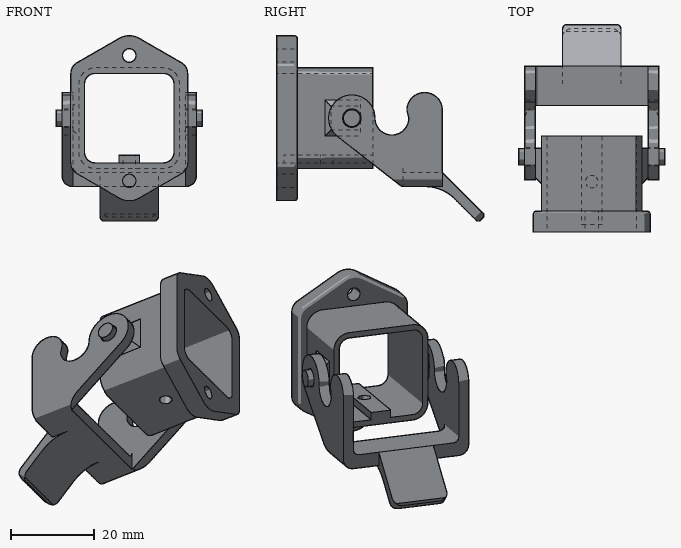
import cadquery as cq
import math


flange_width = 28.0
flange_thickness = 5.0
flange_corner_radius = 3.0
flange_slope = math.radians(30)
flange_back_fillet = 0.75
screw_offset = 15.0
screw_hole_diameter = 3.2
flange_tip_radius = 4.75

sleeve_size = 24.15
sleeve_length = 23.05
sleeve_corner_radius = 3.95
opening_size = 21.35
opening_corner_radius = 2.5

rib_width = 5.0
rib_height = 1.85
rib_front = 1.8
rib_hole_diameter = 3.0
rib_hole_y = 12.05

pivot_y = 18.05
boss_front = 11.55
boss_back = 20.05
boss_height = 1.45
boss_half_height = 4.3
pin_diameter = 4.0
pin_span = 35.0

arm_inner_x = sleeve_size / 2 + boss_height
arm_thickness = 2.6
arm_outer_x = arm_inner_x + arm_thickness
pivot_hole_diameter = 4.4
arm_eye_radius = 5.55
slot_radius = 4.0
slot_y = pivot_y + arm_eye_radius + slot_radius
hook_radius = 4.25
hook_z = 1.9
latch_back = 39.75
underside_slope = math.radians(38)

bar_front = 30.25
bar_top = -13.0
bar_thickness = 3.4
bar_bottom = bar_top - bar_thickness
bar_outer_radius = arm_thickness
bar_inner_radius = 1.45
handle_width = 14.0
handle_reach = 10.3
handle_root_radius = 9.95
handle_corner_radius = 2.0
handle_tip_bevel = 0.5


def xz_plane(y):
    """Plane facing +Y at the given Y; its local axes are -X and +Z."""
    return cq.Workplane(cq.Plane(origin=(0, y, 0), xDir=(-1, 0, 0), normal=(0, 1, 0)))


def yz_plane(x):
    """Plane facing +X at the given X; its local axes are +Y and +Z."""
    return cq.Workplane(cq.Plane(origin=(x, 0, 0), xDir=(0, 1, 0), normal=(1, 0, 0)))


def rounded_block(size, corner_radius, length):
    """Square bar along Y from Y = 0 with rounded long edges."""
    block = xz_plane(0).rect(size, size).extrude(length)
    return block.edges("|Y").fillet(corner_radius)


def make_flange():
    """Six-sided flange with rounded corners and a rounded back edge."""
    half_width = flange_width / 2
    apex_z = screw_offset + flange_tip_radius / math.cos(flange_slope)
    shoulder_z = apex_z - half_width * math.tan(flange_slope)
    outline = [
        (0, apex_z),
        (half_width, shoulder_z),
        (half_width, -shoulder_z),
        (0, -apex_z),
        (-half_width, -shoulder_z),
        (-half_width, shoulder_z),
    ]
    flange = xz_plane(0).polyline(outline).close().extrude(flange_thickness)
    flange = flange.edges("|Y").edges("<Z or >Z").fillet(flange_tip_radius)
    flange = flange.edges("|Y").edges("<X or >X").fillet(flange_corner_radius)
    return flange.faces(">Y").edges().fillet(flange_back_fillet)


def make_boss(side):
    """Pivot boss with 45-degree bevelled front, top and bottom, carrying the pivot pin."""
    base_x = side * sleeve_size / 2
    base_center = (boss_front + boss_back) / 2
    base_length = boss_back - boss_front
    boss = (
        yz_plane(base_x)
        .center(base_center, 0)
        .rect(base_length, 2 * boss_half_height)
        .workplane(offset=side * boss_height)
        .center(boss_height / 2, 0)
        .rect(base_length - boss_height, 2 * (boss_half_height - boss_height))
        .loft(ruled=True)
    )
    pin_length = pin_span / 2 - sleeve_size / 2
    pin = yz_plane(base_x).center(pivot_y, 0).circle(pin_diameter / 2).extrude(side * pin_length)
    return boss.union(pin)


def make_housing():
    """Open square sleeve with a mounting flange, an inner rib and two pivot pins."""
    housing = make_flange().union(rounded_block(sleeve_size, sleeve_corner_radius, sleeve_length))
    housing = housing.cut(rounded_block(opening_size, opening_corner_radius, sleeve_length))
    screw_holes = (
        xz_plane(0)
        .pushPoints([(0, screw_offset), (0, -screw_offset)])
        .circle(screw_hole_diameter / 2)
        .extrude(flange_thickness)
    )
    housing = housing.cut(screw_holes)

    rib_center_z = (rib_height - opening_size) / 2
    rib_length = sleeve_length - rib_front
    rib = xz_plane(rib_front).center(0, rib_center_z).rect(rib_width, rib_height).extrude(rib_length)
    rib_hole = (
        cq.Workplane("XY", origin=(0, rib_hole_y, -sleeve_size / 2))
        .circle(rib_hole_diameter / 2)
        .extrude((sleeve_size - opening_size) / 2 + rib_height)
    )
    housing = housing.union(rib).cut(rib_hole)
    for side in (-1, 1):
        housing = housing.union(make_boss(side))
    return housing


def make_lever_block():
    """Arm profile extruded over the full width of the latch, with rounded lower long edges."""
    tangent_y = pivot_y - arm_eye_radius * math.sin(underside_slope)
    tangent_z = -arm_eye_radius * math.cos(underside_slope)
    underside_y = tangent_y + (tangent_z - bar_bottom) / math.tan(underside_slope)

    hook_y = latch_back - hook_radius
    spacing = math.hypot(hook_y - slot_y, hook_z)
    along = (spacing**2 + slot_radius**2 - hook_radius**2) / (2 * spacing)
    across = math.sqrt(slot_radius**2 - along**2)
    unit_y = (hook_y - slot_y) / spacing
    unit_z = hook_z / spacing
    flat_top = (slot_y + along * unit_y - across * unit_z, along * unit_z + across * unit_y)
    flat_bottom = (slot_y + along * unit_y + across * unit_z, along * unit_z - across * unit_y)

    block = (
        yz_plane(-arm_outer_x)
        .moveTo(underside_y, bar_bottom)
        .lineTo(latch_back, bar_bottom)
        .lineTo(latch_back, hook_z)
        .threePointArc((hook_y, hook_z + hook_radius), flat_top)
        .lineTo(*flat_bottom)
        .threePointArc((slot_y, -slot_radius), (slot_y - slot_radius, 0))
        .threePointArc((pivot_y, arm_eye_radius), (tangent_y, tangent_z))
        .close()
        .extrude(2 * arm_outer_x)
    )
    return block.edges("|Y").edges("<Z").fillet(bar_outer_radius)


def make_handle():
    """Handle sloping down at 45 degrees from the bar's back face, blended into the bar's bottom."""
    start = yz_plane(-handle_width / 2)
    diagonal = math.sqrt(0.5)

    lower_reach = handle_reach - bar_thickness / 2
    upper_tip_y = latch_back + handle_reach
    upper_tip_z = bar_top - handle_reach
    lower_tip_y = latch_back + lower_reach
    lower_tip_z = bar_bottom - lower_reach
    bevel = handle_tip_bevel * diagonal
    root_top = (latch_back, bar_top)
    root_bottom = (latch_back, bar_bottom)
    sharp_outline = [root_top, (upper_tip_y, upper_tip_z), (lower_tip_y, lower_tip_z), root_bottom]
    bevelled_outline = [
        root_top,
        (upper_tip_y - bevel, upper_tip_z + bevel),
        (upper_tip_y - bevel, upper_tip_z - bevel),
        (lower_tip_y + bevel, lower_tip_z + bevel),
        (lower_tip_y - bevel, lower_tip_z + bevel),
        root_bottom,
    ]
    tip_face = cq.selectors.DirectionMinMaxSelector(cq.Vector(0, 1, -1))
    plate = start.polyline(sharp_outline).close().extrude(handle_width)
    plate = plate.faces(tip_face).edges("not |X").fillet(handle_corner_radius)
    handle = plate.intersect(start.polyline(bevelled_outline).close().extrude(handle_width))

    half_turn = math.radians(45) / 2
    tangent_length = handle_root_radius * math.tan(half_turn)
    bar_tangent_y = latch_back - tangent_length
    blend_middle = (
        bar_tangent_y + handle_root_radius * math.sin(half_turn),
        bar_bottom - handle_root_radius * (1 - math.cos(half_turn)),
    )
    blend_end = (latch_back + tangent_length * diagonal, bar_bottom - tangent_length * diagonal)
    blend = (
        start.moveTo(*root_bottom)
        .lineTo(bar_tangent_y, bar_bottom)
        .threePointArc(blend_middle, blend_end)
        .close()
        .extrude(handle_width)
    )
    return handle.union(blend)


def make_latch():
    """Locking lever: two hooked arms joined by a crossbar that carries the handle."""
    gap_width = 2 * arm_inner_x
    gap_height = 2 * sleeve_size
    gap_center_z = bar_top + gap_height / 2
    above_bar = xz_plane(0).center(0, gap_center_z).rect(gap_width, gap_height).extrude(latch_back)
    above_bar = above_bar.edges("|Y and <Z").fillet(bar_inner_radius)
    before_bar = xz_plane(0).rect(gap_width, gap_height).extrude(bar_front)
    pivot_holes = (
        yz_plane(-arm_outer_x).center(pivot_y, 0).circle(pivot_hole_diameter / 2).extrude(2 * arm_outer_x)
    )
    latch = make_lever_block().cut(above_bar).cut(before_bar).cut(pivot_holes)
    return latch.union(make_handle())


housing = make_housing()
latch = make_latch()
result = cq.Compound.makeCompound([housing.val(), latch.val()])